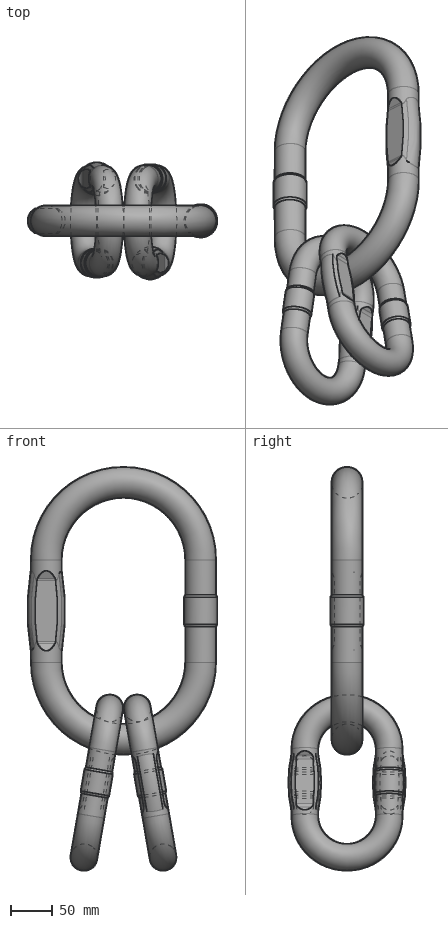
import cadquery as cq
import math


MASTER_WIRE = 38.0
MASTER_INNER_WIDTH = 150.0
MASTER_INNER_LENGTH = 275.0
MASTER_COLLAR = dict(diameter=41.0, length=33.0, taper=3.0)
MASTER_GRIP = dict(half_length=49.0, pad_half_length=38.5, ramp_half_length=48.5, ramp_blend=7.0,
                   pad_half_width=14.0, pad_height=15.0, flank_reach=18.5, flank_height=11.5, reach=23.0)

SUB_WIRE = 33.0
SUB_INNER_WIDTH = 70.0
SUB_INNER_LENGTH = 151.5
SUB_COLLAR = dict(diameter=35.5, length=26.5, taper=3.0)
SUB_GRIP = dict(half_length=35.0, pad_half_length=30.0, ramp_half_length=36.5, ramp_blend=9.5,
                pad_half_width=12.0, pad_height=13.0, flank_reach=16.5, flank_height=10.0, reach=20.0)
SUB_TILT = 9.8
SUB_OFFSET = 32.5
OVERALL_HEIGHT = 491.5


def wire_ring(wire, bend_radius, half_straight):
    """Oblong ring of round wire: two straight legs joined by half-circle bends."""
    path = (
        cq.Workplane("XZ")
        .moveTo(-bend_radius, -half_straight)
        .lineTo(-bend_radius, half_straight)
        .threePointArc((0, half_straight + bend_radius), (bend_radius, half_straight))
        .lineTo(bend_radius, -half_straight)
        .threePointArc((0, -half_straight - bend_radius), (-bend_radius, -half_straight))
        .close()
    )
    return cq.Workplane("XY", origin=(-bend_radius, 0, -half_straight)).circle(wire / 2).sweep(path)


def weld_collar(wire, diameter, length, taper):
    """Thickened weld band around a leg on the Z axis, tapering to the wire at both ends."""
    band_end = length / 2
    taper_end = band_end + taper
    return (
        cq.Workplane("XZ")
        .polyline([(0, -taper_end), (wire / 2, -taper_end), (diameter / 2, -band_end),
                   (diameter / 2, band_end), (wire / 2, taper_end), (0, taper_end)])
        .close()
        .revolve(360, (0, 0), (0, 1))
    )


def grip_bulge(wire, grip):
    """Forged swelling of a leg on the Z axis: its section follows an arc that bows out in X.

    The section runs from a flat pad edge down a sloping flank to a round outer side.
    """
    rise = grip["reach"] - wire / 2
    bow_radius = (grip["half_length"] ** 2 + rise ** 2) / (2 * rise)
    bow_angle = math.degrees(math.asin(grip["half_length"] / bow_radius))
    axis_x = grip["reach"] - bow_radius
    pad_edge = (grip["pad_half_width"], grip["pad_height"])
    flank_edge = (grip["flank_reach"], grip["flank_height"])
    half = (
        cq.Workplane("XY")
        .moveTo(0, -pad_edge[1])
        .lineTo(pad_edge[0], -pad_edge[1])
        .lineTo(flank_edge[0], -flank_edge[1])
        .threePointArc((grip["reach"], 0), flank_edge)
        .lineTo(*pad_edge)
        .lineTo(0, pad_edge[1])
        .close()
        .revolve(2 * bow_angle, (axis_x, 0), (axis_x, 1))
        .rotate((axis_x, 0, 0), (axis_x, 1, 0), -bow_angle)
    )
    return half.union(half.mirror("YZ"))


def pad_recess(wire, grip):
    """Cutter for the flat pads on the -Y and +Y sides of a grip, blending into an end ramp."""
    floor = grip["pad_height"]
    ramp_slope = (wire / 2 - floor) / (grip["ramp_half_length"] - grip["pad_half_length"])
    far_half_length = grip["pad_half_length"] + (wire - floor) / ramp_slope
    front = (
        cq.Workplane("YZ", origin=(-wire, 0, 0))
        .polyline([(-floor, -grip["pad_half_length"]), (-floor, grip["pad_half_length"]),
                   (-wire, far_half_length), (-wire, -far_half_length)])
        .close()
        .extrude(2 * wire)
        .edges("|X and >Y")
        .fillet(grip["ramp_blend"])
    )
    return front.union(front.mirror("XZ"))


def chain_link(wire, inner_width, inner_length, collar, grip):
    """Link in the XZ plane with its grip on the -X leg and its weld collar on the +X leg."""
    bend_radius = (inner_width + wire) / 2
    half_straight = (inner_length - inner_width) / 2
    return (
        wire_ring(wire, bend_radius, half_straight)
        .union(grip_bulge(wire, grip).translate((-bend_radius, 0, 0)))
        .cut(pad_recess(wire, grip).translate((-bend_radius, 0, 0)))
        .union(weld_collar(wire, **collar).translate((bend_radius, 0, 0)))
    )


def sub_link(turn):
    """Sub-link leaning away from the master link's centre, turned about Z by the given angle."""
    lowest_z = MASTER_INNER_LENGTH / 2 + MASTER_WIRE - OVERALL_HEIGHT
    half_centre_line = (SUB_INNER_LENGTH + SUB_WIRE) / 2
    centre_z = lowest_z + SUB_WIRE / 2 + half_centre_line * math.cos(math.radians(SUB_TILT))
    return (
        chain_link(SUB_WIRE, SUB_INNER_WIDTH, SUB_INNER_LENGTH, SUB_COLLAR, SUB_GRIP)
        .rotate((0, 0, 0), (0, 0, 1), 90)
        .rotate((0, 0, 0), (0, 1, 0), -SUB_TILT)
        .translate((SUB_OFFSET, 0, centre_z))
        .rotate((0, 0, 0), (0, 0, 1), turn)
    )


master_link = chain_link(MASTER_WIRE, MASTER_INNER_WIDTH, MASTER_INNER_LENGTH, MASTER_COLLAR, MASTER_GRIP)
sub_links = [sub_link(turn) for turn in (0, 180)]

result = cq.Compound.makeCompound([master_link.solids().val(), *[link.solids().val() for link in sub_links]])